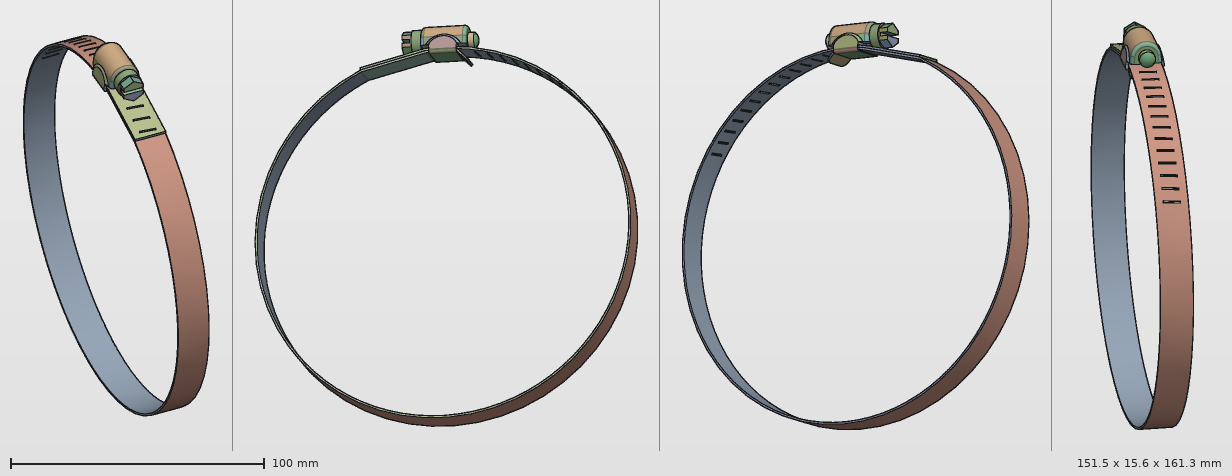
import cadquery as cq
import math

TOTAL_HEIGHT = 161.3

BAND_DIAMETER = 151.5
BAND_THICKNESS = 0.89
BAND_WIDTH = 13.2
LAP_SLOPE = 13.7
LAP_DISTANCE = 73.5
LAP_GAP = 0.08
LAP_END_X = 33.4
SEAT_Z = 74.0
TAB_BEND_X = -5.8
TAB_ANGLE = 45
TAB_LENGTH = 5.2
TAB_CORNER_RADIUS = 2.7

SLOT_LENGTH = 6.8
SLOT_WIDTH = 0.73
SLOT_SLANT = 5
RING_SLOT_COUNT = 13
RING_SLOT_FIRST = 9.6
RING_SLOT_PITCH = 4.06
LAP_SLOT_COUNT = 3
LAP_SLOT_FIRST_X = 18.5
LAP_SLOT_PITCH_X = 6.1

SHAFT_DIAMETER = 6.5
SHAFT_START_X = -11.6
TIP_HEIGHT = 1.5
FLANGE_DIAMETER = 10.3
FLANGE_THICKNESS = 3.9
HEX_CORNER_DIAMETER = 9.7
HEX_LENGTH = 3.9
DRIVE_SLOT_WIDTH = 1.5
DRIVE_SLOT_DEPTH = 3.0

COVER_START_X = -9.2
COVER_END_X = 9.4
COVER_RADIUS = 6.1
COVER_BOTTOM_Z = 76.8
COVER_FLARE = 6.8
COVER_FILLET = 1.5
STRAP_LENGTH = 11.1
STRAP_FLOOR_THICKNESS = 0.5
STRAP_WIDEST_Z = 74.7
STRAP_WIDTH = 15.6
STRAP_TOP_HALF_WIDTH = 6.6
STRAP_TOP_Z = 81.1
STRAP_CORNER_RADIUS = 1.3
CHEEK_INNER_Y = 5.8
CHEEK_INNER_HALF_LENGTH = 8.2
CHEEK_OUTER_Y = 7.9
CHEEK_OUTER_HALF_LENGTH = 4.8
CHEEK_OUTER_TOP_Z = 79.0

RING_RADIUS = BAND_DIAMETER / 2
HALF_THICKNESS = BAND_THICKNESS / 2
RING_INNER_RADIUS = RING_RADIUS - BAND_THICKNESS
UPPER_LAP_DISTANCE = LAP_DISTANCE + BAND_THICKNESS + LAP_GAP
SEAT_BOTTOM_Z = SEAT_Z - HALF_THICKNESS
SCREW_Z = TOTAL_HEIGHT - RING_RADIUS - COVER_RADIUS
SHAFT_RADIUS = SHAFT_DIAMETER / 2
FLANGE_RADIUS = FLANGE_DIAMETER / 2
STRAP_BOTTOM_Z = SEAT_BOTTOM_Z - STRAP_FLOOR_THICKNESS
STRAP_HALF_WIDTH = STRAP_WIDTH / 2
LAP_SIN = math.sin(math.radians(LAP_SLOPE))
LAP_COS = math.cos(math.radians(LAP_SLOPE))


def lap_point(distance, along):
    """XZ point on a line of the lap slope, at a distance from the ring centre."""
    return (distance * LAP_SIN + along * LAP_COS, distance * LAP_COS - along * LAP_SIN)


def lap_at_circle(distance, radius, side):
    """Where the lap line crosses a circle about the ring centre; side is -1 or 1."""
    return lap_point(distance, side * math.sqrt(radius**2 - distance**2))


def lap_at_x(distance, x):
    """Where the lap line reaches a given X."""
    return lap_point(distance, (x - distance * LAP_SIN) / LAP_COS)


def lap_at_z(distance, z):
    """Where the lap line reaches a given Z."""
    return lap_point(distance, (distance * LAP_COS - z) / LAP_SIN)


def tab_bend(side):
    """Mitred bend corner on the upper (1) or lower (-1) face of the tab."""
    shift = side * HALF_THICKNESS * math.tan(math.radians(TAB_ANGLE / 2))
    return (TAB_BEND_X - shift, SEAT_Z + side * HALF_THICKNESS)


def tab_end(side):
    """Free end of the upper (1) or lower (-1) face of the tab."""
    angle = math.radians(TAB_ANGLE)
    x = TAB_BEND_X - TAB_LENGTH * math.cos(angle) - side * HALF_THICKNESS * math.sin(angle)
    z = SEAT_Z - TAB_LENGTH * math.sin(angle) + side * HALF_THICKNESS * math.cos(angle)
    return (x, z)


def slot_cutter(x, z, tilt):
    """Slanted slot cutter through the band at (x, z), tilted about Y to the band surface."""
    depth = 2 * BAND_THICKNESS
    return (
        cq.Workplane("XY")
        .box(SLOT_WIDTH, SLOT_LENGTH, depth)
        .rotate((0, 0, 0), (0, 0, 1), -SLOT_SLANT)
        .rotate((0, 0, 0), (0, 1, 0), tilt)
        .translate((x, 0, z))
    )


def ring_slots():
    """Slot cutters along the ring, evenly spaced by angle."""
    middle_radius = RING_RADIUS - HALF_THICKNESS
    for i in range(RING_SLOT_COUNT):
        degrees = RING_SLOT_FIRST + i * RING_SLOT_PITCH
        angle = math.radians(degrees)
        yield slot_cutter(-middle_radius * math.sin(angle), middle_radius * math.cos(angle), -degrees)


def lap_slots():
    """Slot cutters in the upper lapped layer, centred on its top so the lower layer stays whole."""
    for i in range(LAP_SLOT_COUNT):
        face_distance = UPPER_LAP_DISTANCE + HALF_THICKNESS
        x, z = lap_at_x(face_distance, LAP_SLOT_FIRST_X + i * LAP_SLOT_PITCH_X)
        yield slot_cutter(x, z, LAP_SLOPE)


def make_band():
    """Slotted ring with straight lapped ends and a bent tab under the housing."""
    upper_top = UPPER_LAP_DISTANCE + HALF_THICKNESS
    upper_bottom = UPPER_LAP_DISTANCE - HALF_THICKNESS
    lower_top = LAP_DISTANCE + HALF_THICKNESS
    lower_bottom = LAP_DISTANCE - HALF_THICKNESS
    band = (
        cq.Workplane("XZ")
        .moveTo(*lap_at_x(upper_top, LAP_END_X))
        .lineTo(*lap_at_circle(upper_top, RING_RADIUS, -1))
        .threePointArc((0, -RING_RADIUS), lap_at_circle(lower_top, RING_RADIUS, 1))
        .lineTo(*lap_at_z(lower_top, SEAT_Z + HALF_THICKNESS))
        .lineTo(*tab_bend(1))
        .lineTo(*tab_end(1))
        .lineTo(*tab_end(-1))
        .lineTo(*tab_bend(-1))
        .lineTo(*lap_at_z(lower_bottom, SEAT_BOTTOM_Z))
        .lineTo(*lap_at_circle(lower_bottom, RING_INNER_RADIUS, 1))
        .threePointArc((0, -RING_INNER_RADIUS), lap_at_circle(upper_bottom, RING_INNER_RADIUS, -1))
        .lineTo(*lap_at_x(upper_bottom, LAP_END_X))
        .close()
        .extrude(BAND_WIDTH / 2, both=True)
    )
    end_x = (tab_end(1)[0] + tab_end(-1)[0]) / 2
    end_z = (tab_end(1)[1] + tab_end(-1)[1]) / 2
    for side in (-1, 1):
        corner = cq.selectors.NearestToPointSelector((end_x, side * BAND_WIDTH / 2, end_z))
        band = band.edges(corner).fillet(TAB_CORNER_RADIUS)
    for slot in [*ring_slots(), *lap_slots()]:
        band = band.cut(slot)
    flange = x_cylinder(FLANGE_RADIUS, COVER_END_X, COVER_END_X + FLANGE_THICKNESS)
    return band.cut(flange)


def x_cylinder(radius, start_x, end_x):
    """Cylinder on the screw axis."""
    return (
        cq.Workplane("YZ", origin=(start_x, 0, SCREW_Z))
        .circle(radius)
        .extrude(end_x - start_x)
    )


def make_screw():
    """Round-tipped shaft with a flange and a slotted hexagon head."""
    flange_end_x = COVER_END_X + FLANGE_THICKNESS
    head_end_x = flange_end_x + HEX_LENGTH
    tip_radius = (SHAFT_RADIUS**2 + TIP_HEIGHT**2) / (2 * TIP_HEIGHT)
    tip_x = SHAFT_START_X - TIP_HEIGHT
    half_angle = math.asin(SHAFT_RADIUS / tip_radius) / 2
    tip_middle = (
        tip_x + tip_radius * (1 - math.cos(half_angle)),
        tip_radius * math.sin(half_angle),
    )
    turned = (
        cq.Workplane("XZ", origin=(0, 0, SCREW_Z))
        .moveTo(tip_x, 0)
        .threePointArc(tip_middle, (SHAFT_START_X, SHAFT_RADIUS))
        .lineTo(COVER_END_X, SHAFT_RADIUS)
        .lineTo(COVER_END_X, FLANGE_RADIUS)
        .lineTo(flange_end_x, FLANGE_RADIUS)
        .lineTo(flange_end_x, 0)
        .close()
        .revolve(360, (0, 0, 0), (1, 0, 0))
    )
    hexagon = (
        cq.Workplane("YZ", origin=(flange_end_x, 0, SCREW_Z))
        .transformed(rotate=(0, 0, 90))
        .polygon(6, HEX_CORNER_DIAMETER)
        .extrude(HEX_LENGTH)
    )
    drive_slot = (
        cq.Workplane("XY")
        .box(2 * DRIVE_SLOT_DEPTH, 2 * HEX_CORNER_DIAMETER, DRIVE_SLOT_WIDTH)
        .translate((head_end_x, 0, SCREW_Z))
    )
    return turned.union(hexagon).cut(drive_slot)


def make_cover():
    """Domed cover: an arc running tangent into walls that lean outwards."""
    flare = math.radians(COVER_FLARE)
    wall_y = COVER_RADIUS * math.cos(flare)
    wall_z = SCREW_Z + COVER_RADIUS * math.sin(flare)
    foot_y = wall_y + (wall_z - COVER_BOTTOM_Z) * math.tan(flare)
    return (
        cq.Workplane("YZ", origin=(COVER_START_X, 0, 0))
        .moveTo(-foot_y, COVER_BOTTOM_Z)
        .lineTo(-wall_y, wall_z)
        .threePointArc((0, SCREW_Z + COVER_RADIUS), (wall_y, wall_z))
        .lineTo(foot_y, COVER_BOTTOM_Z)
        .close()
        .extrude(COVER_END_X - COVER_START_X)
        .faces("<X or >X")
        .edges("not(<Z)")
        .fillet(COVER_FILLET)
    )


def make_cheek():
    """Arched cheek on the -Y side, narrowing outwards."""
    return (
        cq.Workplane("XZ", origin=(0, -CHEEK_INNER_Y, 0))
        .moveTo(-CHEEK_INNER_HALF_LENGTH, COVER_BOTTOM_Z)
        .threePointArc((0, STRAP_TOP_Z), (CHEEK_INNER_HALF_LENGTH, COVER_BOTTOM_Z))
        .close()
        .workplane(offset=CHEEK_OUTER_Y - CHEEK_INNER_Y)
        .moveTo(-CHEEK_OUTER_HALF_LENGTH, COVER_BOTTOM_Z)
        .threePointArc((0, CHEEK_OUTER_TOP_Z), (CHEEK_OUTER_HALF_LENGTH, COVER_BOTTOM_Z))
        .close()
        .loft(ruled=True)
    )


def make_strap():
    """Strap round the band, its sides leaning in towards the top to meet the cover."""
    section = (
        cq.Workplane("YZ")
        .moveTo(-STRAP_HALF_WIDTH, STRAP_BOTTOM_Z)
        .lineTo(-STRAP_HALF_WIDTH, STRAP_WIDEST_Z)
        .lineTo(-STRAP_TOP_HALF_WIDTH, STRAP_TOP_Z)
        .lineTo(STRAP_TOP_HALF_WIDTH, STRAP_TOP_Z)
        .lineTo(STRAP_HALF_WIDTH, STRAP_WIDEST_Z)
        .lineTo(STRAP_HALF_WIDTH, STRAP_BOTTOM_Z)
        .close()
        .extrude(CHEEK_INNER_HALF_LENGTH, both=True)
        .edges("|X and <Z")
        .fillet(STRAP_CORNER_RADIUS)
    )
    base_height = COVER_BOTTOM_Z - STRAP_BOTTOM_Z
    base = (
        cq.Workplane("XY", origin=(0, 0, STRAP_BOTTOM_Z))
        .rect(STRAP_LENGTH, STRAP_WIDTH)
        .extrude(base_height)
    )
    cheek = make_cheek()
    return section.intersect(base.union(cheek).union(cheek.mirror("XZ")))


def make_housing():
    """Cover and strap in one piece, with a passage for the band and a bore for the screw."""
    passage = (
        cq.Workplane("XY", origin=(0, 0, SEAT_BOTTOM_Z))
        .rect(2 * STRAP_LENGTH, BAND_WIDTH)
        .extrude(RING_RADIUS - SEAT_BOTTOM_Z)
    )
    bore = x_cylinder(SHAFT_RADIUS, COVER_START_X, COVER_END_X)
    return make_strap().union(make_cover()).cut(passage).cut(bore)


band = make_band()
screw = make_screw()
housing = make_housing()

result = cq.Compound.makeCompound([band.val(), screw.val(), housing.val()])